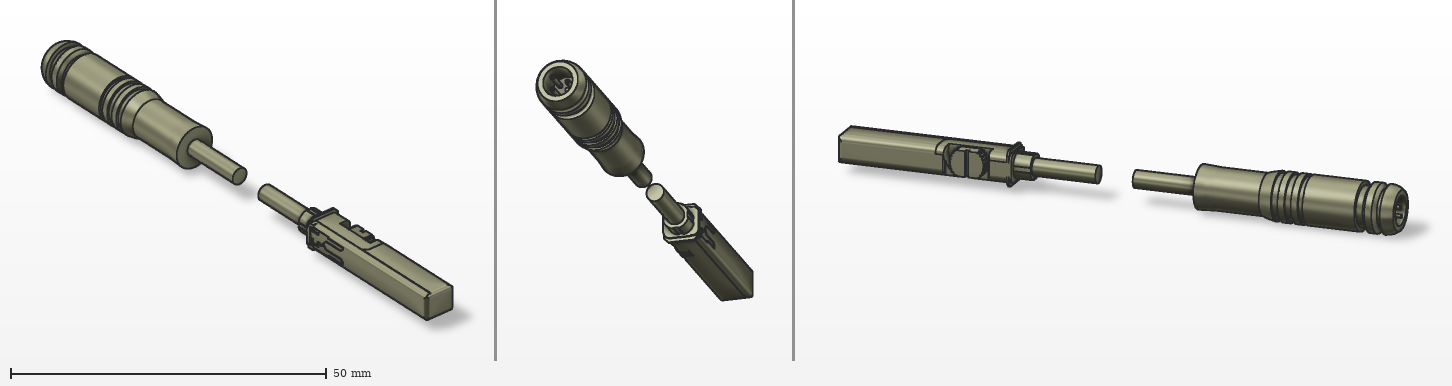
import cadquery as cq
import math

cable_dia = 2.9

nose_face_dia = 6.7
nose_rim_dia = 8.2
nose_length = 2.0
nose_bulge = 0.2
neck_dia = 6.5
neck_end = 2.8
collar_start = 3.4
collar_end = 4.6
collar_foot = 5.2
collar_foot_dia = 6.7
grip_start = 6.3
grip_dia = 8.2
grip_groove_dia = 7.5
shoulder_start = 20.5
grip_grooves = [(15.1, 16.0), (17.1, 18.2), (19.4, shoulder_start)]
shoulder_end = 22.8
shoulder_bulge = 0.1
tail_dia = 7.0
tail_seam = 30.8
tail_end_dia = 7.4
connector_end = 33.8
connector_cable_end = 45.0

socket_dia = 4.9
socket_depth = 4.7
contact_dia = 0.8
contact_tip_dia = 0.4
contact_recess = 0.4
contact_root = 0.9
paired_contact_offset = 1.0
single_contact_offset = 1.4
key_pin_dia = 0.6
key_pin_offset = 1.4

sensor_end = 94.5
sensor_cable_start = 51.3
sleeve_start = 62.1
sleeve_dia = 4.3
sleeve_slot_width = 0.85
sleeve_slot_depth = 0.2
head_start = 65.0
flange_start = 65.4
flange_length = 0.4
flange_half_height = 3.0
flange_chamfer = 0.8
corner_lug_end = 66.5
body_half_height = 2.5
body_front = -2.8
body_back = 3.0
front_radius = 0.8
back_radius = 1.2
step_edge = -1.6
step_depth = 0.1
end_radius = 0.8

label_depth = step_depth / 2
label_start = flange_start + flange_length
label_end = 77.9
label_corner = 0.8

front_recess_depth = 0.14
front_recess_end = 70.2
front_recess_half_height = 1.9
prong_end = 73.8
prong_outer = body_half_height - step_depth - front_radius
prong_inner = 0.8
prong_corner = 0.5
tongue_tip = 68.9

mark_depth = 0.2
mark_width = 0.3
mark_start = 65.7
bar_mark_end = 67.7
bar_mark_height = 1.1
hook_mark_end = 68.5
hook_mark_height = -0.6
hook_mark_drop = 0.6
hook_low_start = 66.0
hook_low_end = 67.7

trough_center = 72.7
trough_axis_height = 1.3
trough_dia = 7.75
trough_front = 0.71
trough_ledge = 2.5
gap_half_length = 3.7
gap_corner = 0.3
disc_dia = 6.0
disc_back = 2.7
disc_half_height = 2.2
disc_slot_width = 0.6
disc_slot_depth = 0.7
knurl_count = 30
knurl_depth = 0.2


def rod(start, end, diameter, y=0.0, z=0.0):
    """A cylinder parallel to X from start to end."""
    return cq.Workplane("YZ", origin=(start, y, z)).circle(diameter / 2).extrude(end - start)


def block(x_range, y_range, z_range):
    """An axis-parallel box between three pairs of limits."""
    size = [high - low for low, high in (x_range, y_range, z_range)]
    corner = (x_range[0], y_range[0], z_range[0])
    return cq.Workplane("XY", origin=corner).box(*size, centered=False)


def connector_shell():
    """The turned plug with its cable stub."""
    nose_middle = (nose_length / 2, (nose_face_dia + nose_rim_dia) / 4 + nose_bulge)
    shoulder_middle = (
        (shoulder_start + shoulder_end) / 2,
        (grip_dia + tail_dia) / 4 + shoulder_bulge,
    )
    outline = (
        cq.Workplane("XY")
        .lineTo(0, nose_face_dia / 2)
        .threePointArc(nose_middle, (nose_length, nose_rim_dia / 2))
        .lineTo(nose_length, neck_dia / 2)
        .lineTo(neck_end, neck_dia / 2)
        .lineTo(collar_start, grip_dia / 2)
        .lineTo(collar_end, grip_dia / 2)
        .lineTo(collar_foot, collar_foot_dia / 2)
        .lineTo(grip_start, collar_foot_dia / 2)
        .lineTo(grip_start, grip_dia / 2)
        .lineTo(shoulder_start, grip_dia / 2)
        .threePointArc(shoulder_middle, (shoulder_end, tail_dia / 2))
        .lineTo(tail_seam, tail_dia / 2)
        .lineTo(connector_end, tail_end_dia / 2)
        .lineTo(connector_end, cable_dia / 2)
        .lineTo(connector_cable_end, cable_dia / 2)
        .lineTo(connector_cable_end, 0)
        .close()
    )
    return outline.revolve(360, (0, 0, 0), (1, 0, 0))


def contact(y, z):
    """Contact pin with a bevelled tip, rooted in the socket floor."""
    pin = rod(contact_recess, socket_depth + contact_root, contact_dia, y, z)
    return pin.faces("<X").chamfer((contact_dia - contact_tip_dia) / 2)


def build_connector():
    connector = connector_shell()
    for start, end in grip_grooves:
        ring = rod(start, end, grip_dia).cut(rod(start, end, grip_groove_dia))
        connector = connector.cut(ring)

    connector = connector.cut(rod(0, socket_depth, socket_dia))
    contact_places = [
        (paired_contact_offset, paired_contact_offset),
        (paired_contact_offset, -paired_contact_offset),
        (-single_contact_offset, 0),
    ]
    for y, z in contact_places:
        connector = connector.union(contact(y, z))
    pin_end = socket_depth + contact_root
    key_pin = rod(contact_recess, pin_end, key_pin_dia, -key_pin_offset, -key_pin_offset)
    return connector.union(key_pin)


def section_half(inset=0.0):
    """Upper half of the housing section; inset lowers the top and back faces alike."""
    top = body_half_height - inset
    back = body_back - inset
    arc_radius = back_radius - inset
    step_height = body_half_height - step_depth
    corner = math.sqrt(0.5)
    back_arc_middle = (
        back - arc_radius * (1 - corner),
        top - arc_radius * (1 - corner),
    )
    front_arc_middle = (
        body_front + front_radius * (1 - corner),
        step_height - front_radius * (1 - corner),
    )
    return (
        cq.Workplane("YZ", origin=(head_start, 0, 0))
        .moveTo(back, 0)
        .lineTo(back, top - arc_radius)
        .threePointArc(back_arc_middle, (back - arc_radius, top))
        .lineTo(step_edge, top)
        .lineTo(step_edge, step_height)
        .lineTo(body_front + front_radius, step_height)
        .threePointArc(front_arc_middle, (body_front, step_height - front_radius))
        .lineTo(body_front, 0)
        .close()
    )


def sensor_bar():
    """The long housing: a section symmetric about Z = 0, with its far end rounded over."""
    upper = section_half().extrude(sensor_end - head_start)
    bar = upper.union(upper.mirror("XY"))
    envelope = block(
        (head_start, sensor_end),
        (body_front, body_back),
        (-body_half_height, body_half_height),
    )
    rounded_plan = envelope.edges("|Z and >X").fillet(end_radius)
    rounded_side = envelope.edges("|Y and >X").fillet(end_radius)
    return bar.intersect(rounded_plan).intersect(rounded_side)


def flange():
    """Thin plate behind the head face, standing out above and below the housing."""
    plate = block(
        (flange_start, flange_start + flange_length),
        (body_front, body_back),
        (-flange_half_height, flange_half_height),
    )
    return plate.edges("|X").chamfer(flange_chamfer)


def corner_lug():
    """Square lug filling out the rounded upper front edge next to the flange."""
    top = body_half_height - step_depth
    return block(
        (flange_start, corner_lug_end),
        (body_front, body_front + front_radius),
        (top - front_radius, top),
    )


def sleeve():
    """Cable sleeve with four lengthwise flat-bottomed slots."""
    tube = rod(sleeve_start, head_start, sleeve_dia)
    slot = block(
        (sleeve_start, head_start),
        (-sleeve_slot_width / 2, sleeve_slot_width / 2),
        (sleeve_dia / 2 - sleeve_slot_depth, sleeve_dia / 2),
    )
    for quarter in range(4):
        tube = tube.cut(slot.rotate((0, 0, 0), (1, 0, 0), 90 * quarter))
    return tube


def label_field():
    """Cutter for the label field on the top face and the rounded edge behind it."""
    field = block(
        (label_start, label_end),
        (step_edge, body_back),
        (body_half_height - back_radius, body_half_height),
    )
    field = field.edges("|Z and >X and <Y").chamfer(label_corner)
    return field.cut(section_half(label_depth).extrude(sensor_end - head_start))


def front_recess():
    """Cutter for the front face recess, leaving a pointed tongue between two prongs."""
    outline = (
        cq.Workplane("XZ", origin=(0, body_front, 0))
        .moveTo(label_start, 0)
        .lineTo(label_start, front_recess_half_height)
        .lineTo(front_recess_end, front_recess_half_height)
        .lineTo(front_recess_end, prong_outer)
        .lineTo(prong_end, prong_outer)
        .lineTo(prong_end, prong_inner + prong_corner)
        .lineTo(prong_end - prong_corner, prong_inner)
        .lineTo(tongue_tip + prong_inner, prong_inner)
        .lineTo(tongue_tip, 0)
        .close()
        .extrude(-front_recess_depth)
    )
    return outline.union(outline.mirror("XY"))


def front_marks():
    """Cutter for a straight groove and a stepped groove beside the flange."""
    floor = body_front + front_recess_depth + mark_depth

    def groove(start, end, height):
        half = mark_width / 2
        return block((start, end), (body_front, floor), (height - half, height + half))

    low_height = hook_mark_height - hook_mark_drop
    marks = groove(mark_start, bar_mark_end, bar_mark_height)
    marks = marks.union(groove(mark_start, hook_low_start + mark_width, hook_mark_height))
    marks = marks.union(groove(hook_low_end - mark_width, hook_mark_end, hook_mark_height))
    marks = marks.union(groove(hook_low_start, hook_low_end, low_height))
    for start in (hook_low_start, hook_low_end - mark_width):
        riser = block(
            (start, start + mark_width),
            (body_front, floor),
            (low_height, hook_mark_height),
        )
        marks = marks.union(riser)
    return marks


def cylinder_along_y(diameter, start, end, height):
    """A cylinder parallel to Y at the trough position."""
    base = cq.Workplane("XZ", origin=(trough_center, start, height))
    return base.circle(diameter / 2).extrude(start - end)


def trough():
    """Cutter for the round trough and the through gap behind it, with bevelled mouth edges."""
    bowl = cylinder_along_y(trough_dia, trough_front, body_back, trough_axis_height)
    half = gap_half_length
    gap = (
        cq.Workplane("XY", origin=(trough_center, 0, -body_half_height))
        .moveTo(-half, trough_ledge)
        .lineTo(-half, body_back - gap_corner)
        .lineTo(-half - gap_corner, body_back)
        .lineTo(half + gap_corner, body_back)
        .lineTo(half, body_back - gap_corner)
        .lineTo(half, trough_ledge)
        .close()
        .extrude(2 * body_half_height)
    )
    return bowl.union(gap)


def clamping_disc():
    """Knurled disc with flat sides and a screwdriver slot in its back face."""
    disc = cylinder_along_y(disc_dia, trough_front, disc_back, 0)
    knurl = (
        cq.Workplane("XZ", origin=(trough_center, trough_front, 0))
        .polarArray(disc_dia / 2, 0, 360, knurl_count)
        .circle(knurl_depth)
        .extrude(trough_front - disc_back)
    )
    disc = disc.cut(knurl)
    half = disc_dia / 2
    disc = disc.intersect(
        block(
            (trough_center - half, trough_center + half),
            (trough_front, disc_back),
            (-disc_half_height, disc_half_height),
        )
    )
    slot = block(
        (trough_center - disc_slot_width / 2, trough_center + disc_slot_width / 2),
        (disc_back - disc_slot_depth, disc_back),
        (-disc_half_height, disc_half_height),
    )
    return disc.cut(slot)


def build_sensor():
    sensor = sensor_bar().union(flange())
    sensor = sensor.cut(label_field()).cut(front_recess()).cut(front_marks())
    lug = corner_lug()
    sensor = sensor.union(lug).union(lug.mirror("XY"))
    sensor = sensor.cut(trough()).union(clamping_disc())
    sensor = sensor.union(sleeve())
    return sensor.union(rod(sensor_cable_start, sleeve_start, cable_dia))


connector = build_connector()
sensor = build_sensor()
result = cq.Compound.makeCompound([connector.val(), sensor.val()])